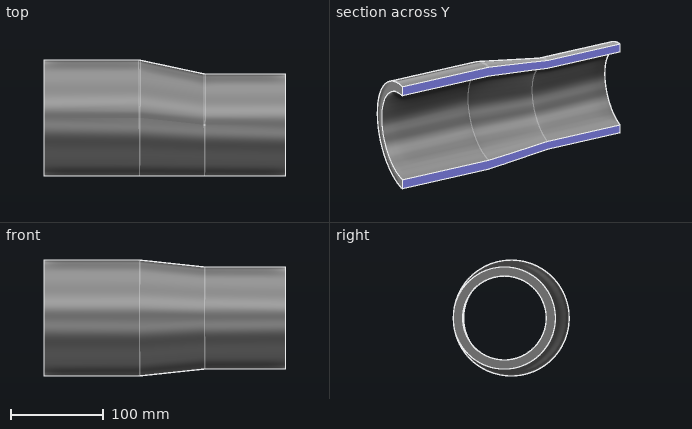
import cadquery as cq

total_length = 260.0
large_length = 103.0
small_length = 87.0
taper_end = total_length - small_length

large_outer_diameter = 125.0
large_bore_diameter = 102.2
small_outer_diameter = 110.0
small_bore_diameter = 90.0

blend_radius = 10.0

axis_offset = (small_outer_diameter - large_outer_diameter) / 2

pipe_direction = cq.Vector(1, 0, 0)
position_tolerance = 0.1


def section(x, y, diameter):
    """Circular section across the pipe, with its seam on the +Z side."""
    return cq.Wire.makeCircle(diameter / 2, cq.Vector(x, y, 0), pipe_direction)


def reducer_body(large_diameter, small_diameter):
    """Solid body: large cylinder, eccentric taper, small cylinder."""
    sections = [
        section(0, 0, large_diameter),
        section(large_length, 0, large_diameter),
        section(taper_end, axis_offset, small_diameter),
        section(total_length, axis_offset, small_diameter),
    ]
    return cq.Workplane(cq.Solid.makeLoft(sections, True))


def blend_joint(body, joint_x):
    """Round the circular edge lying in the plane x = joint_x.

    The blend narrows to nothing on the -Y side, where the walls are in line.
    """
    reach = large_outer_diameter
    joint_edge = cq.selectors.BoxSelector(
        (joint_x - position_tolerance, -reach, -reach),
        (joint_x + position_tolerance, reach, reach),
        boundingbox=True,
    )
    return body.edges(joint_edge).fillet(blend_radius)


outer_body = reducer_body(large_outer_diameter, small_outer_diameter)
outer_body = blend_joint(outer_body, large_length)
outer_body = blend_joint(outer_body, taper_end)
bore = reducer_body(large_bore_diameter, small_bore_diameter)
result = outer_body.cut(bore)